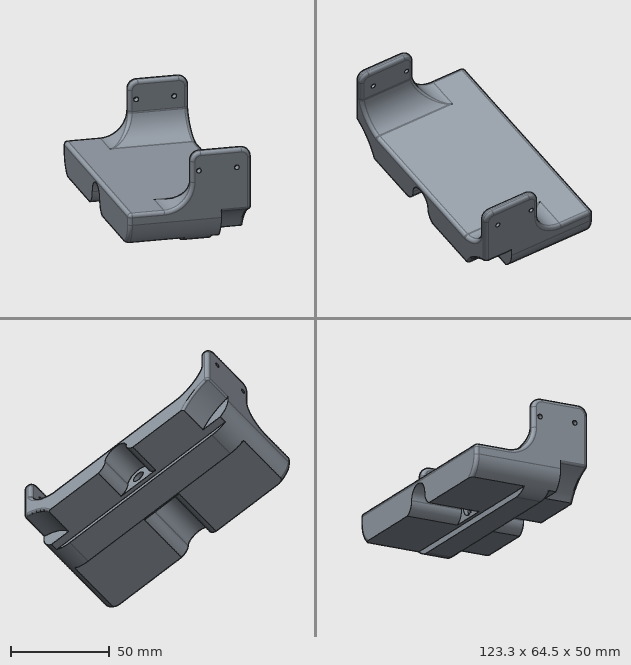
import cadquery as cq
import math

width = 123.3
depth = 64.5
height = 50.0

floor_top = 20.0
plate_thickness = 4.9
plate_front = 32.9
plate_corner_radius = 5.0
inner_radius = 19.2
inner_run = 14.8
inner_rise = 13.3
blend_radius = 2.5
shoulder_radius = 13.9
bottom_radius = 14.0
edge_radius = 2.0

underside = 3.2
rib_front = 30.7
rib_width = 14.2

channel_radius = 7.0
channel_axis_height = 10.1
flare_radius = 7.5
bolt_diameter = 6.5
counterbore_diameter = 10.0
counterbore_depth = 2.5
web_margin = 2.0

screw_diameter = 2.5
screw_height = 40.1
screw_positions = (37.0, 57.0)

cove_radius = 28.4
cove_front = 48.8
cove_edge_height = 17.5
cove_axis_outset = 8.8
cove_edge_radius = 1.2
rim_reach = 0.1

half_width = width / 2
inner_face = half_width - plate_thickness
rib_back = rib_front + rib_width
web_front = rib_front - web_margin
web_back = rib_back + web_margin
diagonal = math.sqrt(0.5)


def box(x_min, x_max, y_min, y_max, z_min, z_max):
    size = (x_max - x_min, y_max - y_min, z_max - z_min)
    return cq.Workplane("XY").box(*size, centered=False).translate((x_min, y_min, z_min))


def cylinder_along_y(radius, x, z, y_min, y_max):
    axis_start = cq.Vector(x, y_min, z)
    return cq.Workplane(cq.Solid.makeCylinder(radius, y_max - y_min, axis_start, cq.Vector(0, 1, 0)))


def cradle_section():
    """U-shaped section, extruded over the whole depth."""
    foot = inner_face - inner_run
    arc_top = floor_top + inner_rise
    section = (
        cq.Workplane("XZ")
        .moveTo(-half_width, 0)
        .lineTo(half_width, 0)
        .lineTo(half_width, height)
        .lineTo(inner_face, height)
        .lineTo(inner_face, arc_top)
        .radiusArc((foot, floor_top), inner_radius)
        .lineTo(-foot, floor_top)
        .radiusArc((-inner_face, arc_top), inner_radius)
        .lineTo(-inner_face, height)
        .lineTo(-half_width, height)
        .close()
        .extrude(-depth)
    )
    section = section.edges("|Y and <Z").fillet(bottom_radius)
    arc_ends = cq.selectors.BoxSelector(
        (-half_width, 0, underside), (half_width, depth, arc_top + blend_radius)
    )
    return section.edges(arc_ends).edges("|Y").fillet(blend_radius)


def side_outline():
    """Side shape: low tray in front, sweeping up into the plates."""
    arc_mid = shoulder_radius * (1 - diagonal)
    outline = (
        cq.Workplane("YZ")
        .lineTo(depth, 0)
        .lineTo(depth, height)
        .lineTo(plate_front, height)
        .lineTo(plate_front, floor_top + shoulder_radius)
        .threePointArc(
            (plate_front - arc_mid, floor_top + arc_mid),
            (plate_front - shoulder_radius, floor_top),
        )
        .lineTo(0, floor_top)
        .close()
        .extrude(half_width, both=True)
    )
    return outline.edges("|X and >Z").fillet(plate_corner_radius)


def coves():
    """Cylinders along Y that hollow the bottom corners at the back."""
    cutter = cq.Workplane("XY")
    axis_height = cove_edge_height - math.sqrt(cove_radius**2 - cove_axis_outset**2)
    for side in (-1, 1):
        axis_x = side * (half_width + cove_axis_outset)
        cutter = cutter.add(cylinder_along_y(cove_radius, axis_x, axis_height, cove_front, depth))
    return cutter.combine()


def channel():
    """Round-topped channel whose mouth flares out to the underside."""
    flare_axis = channel_radius + flare_radius
    drop = channel_axis_height - underside
    mouth = flare_axis - math.sqrt(flare_radius**2 - drop**2)
    blend = math.asin(drop / flare_radius) / 2
    mid_x = flare_axis - flare_radius * math.cos(blend)
    mid_z = channel_axis_height - flare_radius * math.sin(blend)
    cutter = (
        cq.Workplane("XZ")
        .moveTo(-mouth, underside)
        .threePointArc((-mid_x, mid_z), (-channel_radius, channel_axis_height))
        .threePointArc((0, channel_axis_height + channel_radius), (channel_radius, channel_axis_height))
        .threePointArc((mid_x, mid_z), (mouth, underside))
        .close()
        .extrude(-depth)
    )
    return cutter.cut(box(-mouth, mouth, web_front, web_back, 0, height))


def underside_slabs():
    """Slabs below the flat underside, in front of and behind the rib."""
    front_slab = box(-half_width, half_width, 0, rib_front, 0, underside)
    back_slab = box(-half_width, half_width, rib_back, depth, 0, underside)
    return front_slab.union(back_slab)


def screw_holes():
    centres = [(y, screw_height) for y in screw_positions]
    return (
        cq.Workplane("YZ")
        .pushPoints(centres)
        .circle(screw_diameter / 2)
        .extrude(half_width, both=True)
    )


body = cradle_section().intersect(side_outline())

body = body.faces("<Y or >Y").edges().fillet(edge_radius)

body = body.cut(coves())
cove_rims = cq.selectors.BoxSelector(
    (-width, cove_front, cove_edge_height - rim_reach),
    (width, depth, cove_edge_height + rim_reach),
)
body = body.edges(cove_rims).edges("|Y").fillet(cove_edge_radius)

body = body.cut(underside_slabs())
body = body.cut(channel())
body = body.cut(screw_holes())

bolt_hole = cylinder_along_y(bolt_diameter / 2, 0, channel_axis_height, web_front, web_back)
counterbore = cylinder_along_y(
    counterbore_diameter / 2, 0, channel_axis_height, web_front, web_front + counterbore_depth
)
result = body.cut(bolt_hole).cut(counterbore)